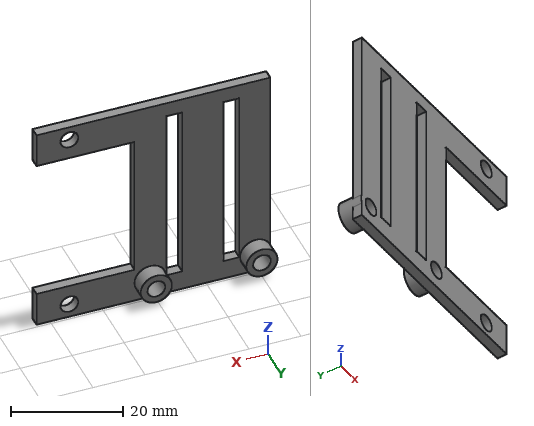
import cadquery as cq

total_width = 45.15
total_depth = 5.0
plate_height = 43.0
plate_thickness = 2.0

boss_diameter = 6.0
hole_diameter = 3.4
boss_overhang = 0.2
boss_spacing = 20.33
boss_z = 3.97

arm_hole_x = 38.65
arm_hole_inset = 2.85

slot_width = 3.0
slot_left_edges = (6.0, 17.0)
slot_bottom = boss_z
slot_top_margin = 3.0
notch_left = 26.15
arm_height = 7.0

plate_width = total_width - boss_overhang
slot_top = plate_height - slot_top_margin
left_boss_x = boss_diameter / 2 - boss_overhang
boss_centers = [(left_boss_x, boss_z), (left_boss_x + boss_spacing, boss_z)]
arm_hole_centers = [
    (arm_hole_x, arm_hole_inset),
    (arm_hole_x, plate_height - arm_hole_inset),
]


def block(left, right, bottom, top):
    """Box as thick as the plate, between the given X and Z limits."""
    size = (right - left, plate_thickness, top - bottom)
    return cq.Workplane("XY").box(*size, centered=False).translate((left, 0, bottom))


def cylinders(centers, diameter):
    """Cylinders along +Y from the front face, through the full depth."""
    return cq.Workplane("XZ").pushPoints(centers).circle(diameter / 2).extrude(-total_depth)


plate = block(0, plate_width, 0, plate_height)
plate = plate.cut(block(notch_left, plate_width, arm_height, plate_height - arm_height))

for slot_left in slot_left_edges:
    plate = plate.cut(block(slot_left, slot_left + slot_width, slot_bottom, slot_top))

bossed_plate = plate.union(cylinders(boss_centers, boss_diameter))

result = bossed_plate.cut(cylinders(boss_centers + arm_hole_centers, hole_diameter))